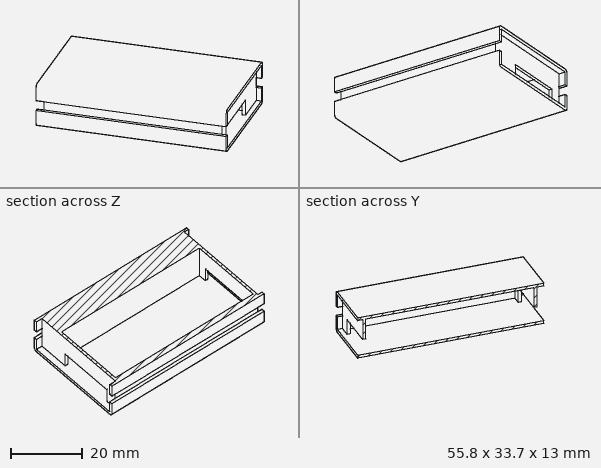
import cadquery as cq

length = 55.8
width = 33.7
height = 13.0
wall = 1.0
corner_radius = wall
groove_height = 3.0

frame_wall = 1.0
thick_side_wall = 7.5
left_setback = 2.0
right_setback = 1.5

opening_width = 18.0
opening_height = 4.7

cavity_width = width - 2 * wall
cavity_height = height - 2 * wall
opening_center_y = (frame_wall - thick_side_wall) / 2
frame_length = length - left_setback - right_setback
frame_center_x = (left_setback - right_setback) / 2


def make_sleeve():
    """Rounded rectangular tube split along both sides by a groove."""
    outside = cq.Workplane("XY").box(length, width, height).edges("|X").fillet(corner_radius)
    cavity = cq.Workplane("XY").box(length, cavity_width, cavity_height)
    side_grooves = cq.Workplane("XY").box(length, width, groove_height)
    return outside.cut(cavity).cut(side_grooves)


def make_frame():
    """Upright walls joining the sleeve halves, thick on the +Y side, with an opening in each end."""
    outside = cq.Workplane("XY").box(frame_length, cavity_width, cavity_height)
    inside_width = cavity_width - frame_wall - thick_side_wall
    inside = (
        cq.Workplane("XY")
        .box(frame_length - 2 * frame_wall, inside_width, cavity_height)
        .translate((0, opening_center_y, 0))
    )
    opening_center_z = (opening_height - cavity_height) / 2
    opening = (
        cq.Workplane("XY")
        .box(frame_length, opening_width, opening_height)
        .translate((0, opening_center_y, opening_center_z))
    )
    return outside.cut(inside).cut(opening).translate((frame_center_x, 0, 0))


result = make_sleeve().union(make_frame())